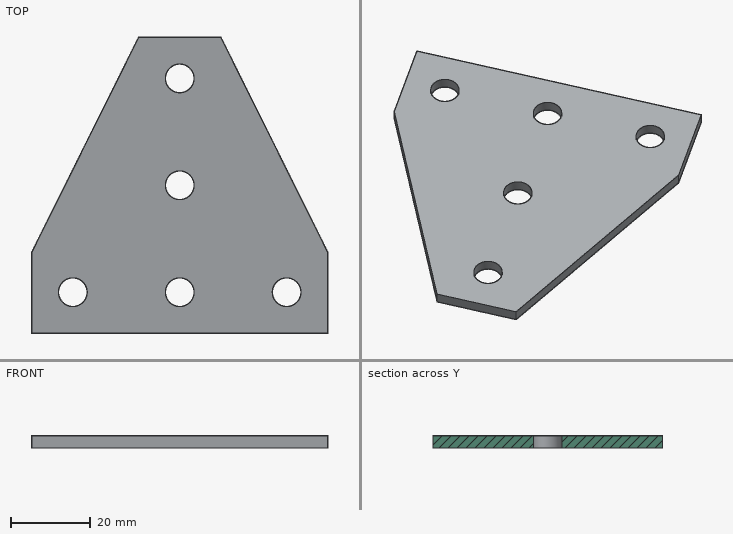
import cadquery as cq

side = 74.6
thickness = 3.1

hole_diameter = 7.15
edge_distance = 10.4
hole_pitch = side / 2 - edge_distance

shoulder_height = 20.45
top_width = 2 * edge_distance

half_side = side / 2
half_top = top_width / 2
shoulder_y = shoulder_height - half_side

outline = [
    (-half_side, -half_side),
    (half_side, -half_side),
    (half_side, shoulder_y),
    (half_top, half_side),
    (-half_top, half_side),
    (-half_side, shoulder_y),
]

hole_centers = [
    (-hole_pitch, -hole_pitch),
    (0, -hole_pitch),
    (hole_pitch, -hole_pitch),
    (0, 0),
    (0, hole_pitch),
]

plate = cq.Workplane("XY").polyline(outline).close().extrude(thickness)
result = plate.faces(">Z").workplane(origin=(0, 0, thickness)).pushPoints(hole_centers).hole(hole_diameter)